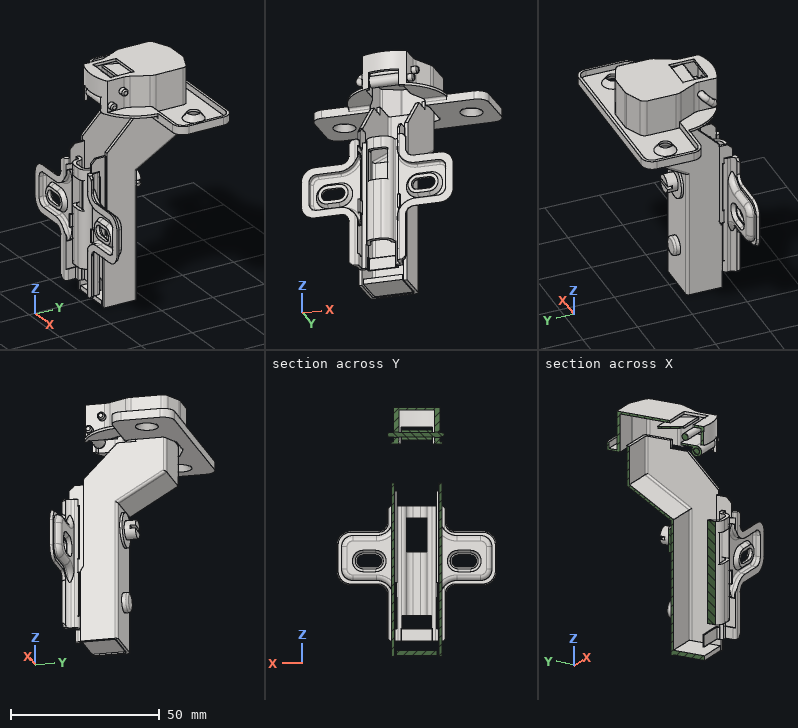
import cadquery as cq
import math

TOP_Z = 84.0
BACK_Y = 43.4

FLANGE_WIDTH = 62.0
FLANGE_FRONT_Y = 21.8
FLANGE_BOTTOM_Z = 69.3
FLANGE_TOP_Z = 72.4
FLANGE_CORNER_R = 4.0
RIM_WIDTH = 1.0
FLANGE_FLOOR = 0.8
LEDGE_THICKNESS = 0.9
LEDGE_FILLET = 1.0
SCREW_HOLE_X = 22.5
SCREW_HOLE_Y = 32.7
SCREW_HOLE_R = 2.2
SCREW_BOSS_R = 3.9

DISC_R = 17.5
DISC_Y = 23.2
CUP_HALF_WIDTH = 11.85
CUP_BACK_Y = 39.6
CUP_BACK_HALF = 4.45
CUP_SHOULDER_Y = 36.3
CUP_WAIST_Y = 23.3
NOSE_HALF_WIDTH = 7.9
NOSE_Y = 15.2
CUP_SIDE_R = 4.6
CUP_SHOULDER_R = 2.3
CUP_WALL = 1.3
CUP_ROOF = 1.0
WINDOW_HALF_WIDTH = 5.9
WINDOW_FRONT_Y = 10.2
WINDOW_BACK_Y = 19.2
NOTCH_HALF_WIDTH = 5.3
NOTCH_TOP_Z = 77.2

PIN_R = 1.3
UPPER_PIN_Y, UPPER_PIN_Z = 13.4, 79.05
LOWER_PIN_Y, LOWER_PIN_Z = 9.1, 74.7
PIN_TIP_X = 10.2
PIN_TIP_CHAMFER = 0.5
STAPLE_BACK_X = -9.75
STAPLE_BEND_R = 1.85

UPPER_LINK_HALF_WIDTH = 6.3
UPPER_LINK_FRONT_Y = 14.0
UPPER_LINK_FRONT_Z = 82.8
UPPER_LINK_LENGTH = 10.1
UPPER_LINK_TILT = 10.0
LINK_THICKNESS = 0.8
BARREL_HALF_WIDTH = 5.2
TONGUE_HALF_WIDTH = 6.1
BARREL_R = 2.0
LOWER_LINK_BACK_Y = 15.1

SHEET = 1.2
ARM_HALF_WIDTH = 8.6
ARM_UPPER_BACK_Y = 35.8
ARM_LOWER_BACK_Y = 19.0
ARM_BEND_Z = 57.8
ARM_BEND_ANGLE = 30.0
ARM_FRONT_Y = 6.0
ARM_STEP_Y = 7.05
ARM_STEP_LOW_Z, ARM_STEP_HIGH_Z = 24.8, 26.7
ARM_SHOULDER_Z = 57.5
ARM_BACK_TOP_Z = 72.15
ARM_OUTER_R = 1.0
ARM_INNER_R = 0.75
ARM_SIDE_TOP_Y = 25.2
ARM_FLOOR_HALF_WIDTH = 6.9
ARM_FLOOR_LOW_Z, ARM_FLOOR_HIGH_Z = 0.3, 2.2

BASE_LOW_Z, BASE_HIGH_Z = 5.2, 50.8
BASE_SHEET = 1.1
BASE_EDGE_ANGLE = 26.0
STRIP_HALF_WIDTH = 10.2
STRIP_CHAMFER = 1.3
WALL_INNER_X = 6.8
WALL_INNER_R = 1.1
WALL_OUTER_R = 1.5
RAIL_LOW_Y, RAIL_HIGH_Y = 3.95, 5.2
TROUGH_HALF_WIDTH = 4.8
TROUGH_FLAT = 1.3
TROUGH_SHEET = 1.35
TROUGH_LOW_Z = 13.8
TROUGH_WINDOW_HALF_WIDTH = 3.45
TROUGH_WINDOW_LOW_Z, TROUGH_WINDOW_HIGH_Z = 35.4, 46.7
BRIDGE_HALF_WIDTH = 5.3
BRIDGE_HIGH_Z = 9.5
BRIDGE_DEPTH = 1.5
BRIDGE_SHEET = 0.5
SLIT_WIDTH = 0.3
SLIT_HIGH_Z = 48.6

WING_TIP_X = 27.0
WING_LOW_Z, WING_HIGH_Z = 24.0, 42.4
WING_CORNER_R = 4.7
WING_NECK_R = 2.7
POCKET_DEPTH = 2.4
POCKET_TIP_X = 24.2
POCKET_LOW_Z, POCKET_HIGH_Z = 26.8, 39.7
POCKET_CORNER_R = 2.7
POCKET_NECK_R = 6.7
POCKET_FLOOR_R = 0.8
PRESSED_BACK_R = 1.85
SLOT_X, SLOT_Z = 16.0, 32.25
SLOT_STRAIGHT = 4.1
SLOT_R = 2.0
SLOT_BOSS_TOP_R = 3.3
SLOT_BOSS_R = 4.4
SLOT_BOSS_HEIGHT = 1.6
SLOT_BOSS_WALL = 1.3

CHEEK_INNER_X, CHEEK_OUTER_X = 6.6, 7.4
CHEEK_FRONT_Y, CHEEK_BACK_Y = 1.7, 7.4
CHEEK_LOW_Z, CHEEK_HIGH_Z = 24.95, 55.9
CHEEK_TAB_Z = 29.7
CHEEK_CHAMFER = 1.8

ADJUST_SCREW_Z = 41.0
WASHER_R = 6.05
WASHER_THICKNESS = 0.8
ADJUST_HEAD_R = 3.3
ADJUST_HEAD_END_Y = 23.7
DRIVE_SLOT_WIDTH = 1.1
DRIVE_SLOT_DEPTH = 1.85
FIXING_SCREW_Z = 15.3
FIXING_HEAD_R = 3.45
FIXING_HEAD_END_Y = 21.2
FIXING_HEAD_FILLET = 0.75


def block(x0, x1, y0, y1, z0, z1):
    """Box between two opposite corners."""
    return cq.Workplane("XY").box(x1 - x0, y1 - y0, z1 - z0, centered=False).translate((x0, y0, z0))


def mirrored(half):
    """A feature on the +X side together with its mirror image."""
    return half.union(half.mirror("YZ"))


def side_prism(points, half_width):
    """Prism of a (Y, Z) outline, centred on X = 0."""
    return cq.Workplane("YZ").polyline(points).close().extrude(half_width, both=True)


def rod_x(x0, x1, y, z, radius):
    """Round rod along X."""
    return cq.Workplane("YZ", origin=(x0, 0, 0)).center(y, z).circle(radius).extrude(x1 - x0)


def rod_y(y0, y1, z, radius):
    """Round rod along Y on the mirror plane."""
    return cq.Workplane("XZ", origin=(0, y0, 0)).center(0, z).circle(radius).extrude(y0 - y1)


def cup_outline_prism(inset, z0, z1):
    """Cup body between two heights, its side wall moved inwards by the inset."""
    points = [
        (CUP_BACK_HALF, CUP_BACK_Y),
        (CUP_HALF_WIDTH, CUP_SHOULDER_Y),
        (CUP_HALF_WIDTH, CUP_WAIST_Y),
        (NOSE_HALF_WIDTH, NOSE_Y),
        (NOSE_HALF_WIDTH, 0),
    ]
    left_points = [(-x, y) for x, y in reversed(points)]
    prism = cq.Workplane("XY").polyline(points + left_points).close().extrude(z1 - z0)
    for x_side in (-1, 1):
        for x, y, radius in (
            (CUP_BACK_HALF, CUP_BACK_Y, CUP_SHOULDER_R),
            (CUP_HALF_WIDTH, CUP_SHOULDER_Y, CUP_SHOULDER_R),
            (CUP_HALF_WIDTH, CUP_WAIST_Y, CUP_SIDE_R),
            (NOSE_HALF_WIDTH, NOSE_Y, CUP_SIDE_R),
        ):
            corner = cq.selectors.NearestToPointSelector((x_side * x, y, (z1 - z0) / 2))
            prism = prism.edges("|Z").edges(corner).fillet(radius)
    disc_reach = cq.Workplane("XY").center(0, DISC_Y).circle(DISC_R).extrude(z1 - z0)
    behind = block(-FLANGE_WIDTH, FLANGE_WIDTH, DISC_Y, BACK_Y, 0, z1 - z0)
    prism = prism.intersect(disc_reach.union(behind))
    if inset:
        prism = prism.faces("<Z").wires().toPending().offset2D(-inset).extrude(z1 - z0, combine=False)
        prism = prism.translate((0, 0, -prism.val().BoundingBox().zmin))
    return prism.translate((0, 0, z0))


def rounded_plate(inset, z0, z1):
    """Flange outline moved inwards by the inset."""
    width = FLANGE_WIDTH - 2 * inset
    depth = BACK_Y - FLANGE_FRONT_Y - 2 * inset
    plate = cq.Workplane("XY").box(width, depth, z1 - z0, centered=(True, True, False))
    plate = plate.edges("|Z").fillet(FLANGE_CORNER_R - inset)
    return plate.translate((0, (BACK_Y + FLANGE_FRONT_Y) / 2, z0))


def make_cup(staple):
    floor_z = FLANGE_BOTTOM_Z + FLANGE_FLOOR
    ledge_z = FLANGE_TOP_Z - LEDGE_THICKNESS
    cup = rounded_plate(0, FLANGE_BOTTOM_Z, FLANGE_TOP_Z)
    cup = cup.cut(rounded_plate(RIM_WIDTH, floor_z, FLANGE_TOP_Z))

    ledge = cq.Workplane("XY", origin=(0, DISC_Y, ledge_z)).circle(DISC_R).extrude(LEDGE_THICKNESS)
    ledge = ledge.intersect(block(-DISC_R, DISC_R, 0, FLANGE_FRONT_Y + RIM_WIDTH, ledge_z, FLANGE_TOP_Z))
    cup = cup.union(ledge)
    strip_front_y = FLANGE_FRONT_Y - LEDGE_FILLET
    fillet_strip = (
        cq.Workplane("YZ")
        .moveTo(FLANGE_FRONT_Y, ledge_z)
        .lineTo(strip_front_y, ledge_z)
        .radiusArc((FLANGE_FRONT_Y, ledge_z - LEDGE_FILLET), LEDGE_FILLET)
        .close()
        .extrude(math.sqrt(DISC_R**2 - (DISC_Y - strip_front_y) ** 2), both=True)
    )
    cup = cup.union(fillet_strip)

    boss_height = FLANGE_TOP_Z - floor_z
    for x in (-SCREW_HOLE_X, SCREW_HOLE_X):
        axis_point = cq.Vector(x, SCREW_HOLE_Y, floor_z)
        boss = cq.Solid.makeCone(SCREW_BOSS_R, SCREW_HOLE_R, boss_height, axis_point)
        hole = cq.Workplane("XY", origin=(x, SCREW_HOLE_Y, 0)).circle(SCREW_HOLE_R).extrude(TOP_Z)
        dish_point = cq.Vector(x, SCREW_HOLE_Y, FLANGE_BOTTOM_Z)
        dish = cq.Solid.makeCone(SCREW_BOSS_R, SCREW_HOLE_R, boss_height, dish_point)
        cup = cup.union(cq.Workplane(boss)).cut(hole).cut(cq.Workplane(dish))

    cup = cup.union(cup_outline_prism(0, ledge_z, TOP_Z))
    foot = cup_outline_prism(0, floor_z, ledge_z)
    flange_zone = block(-FLANGE_WIDTH, FLANGE_WIDTH, FLANGE_FRONT_Y, BACK_Y, floor_z, ledge_z)
    cup = cup.union(foot.intersect(flange_zone))
    cup = cup.cut(cup_outline_prism(CUP_WALL, 0, TOP_Z - CUP_ROOF))

    window_half = WINDOW_HALF_WIDTH
    cup = cup.cut(block(-window_half, window_half, WINDOW_FRONT_Y, WINDOW_BACK_Y, FLANGE_TOP_Z, TOP_Z))
    notch_half = NOTCH_HALF_WIDTH
    cup = cup.cut(block(-notch_half, notch_half, 0, WINDOW_FRONT_Y, FLANGE_BOTTOM_Z, NOTCH_TOP_Z))
    return cup.cut(staple)


def make_staple():
    """Two parallel pins along X, joined at the -X end by a bent back."""
    span_y = LOWER_PIN_Y - UPPER_PIN_Y
    span_z = LOWER_PIN_Z - UPPER_PIN_Z
    span = math.hypot(span_y, span_z)
    staple_plane = cq.Plane(
        origin=(0, UPPER_PIN_Y, UPPER_PIN_Z),
        xDir=(1, 0, 0),
        normal=(0, -span_z, span_y),
    )
    bend_x = STAPLE_BACK_X + STAPLE_BEND_R
    path = (
        cq.Workplane(staple_plane)
        .moveTo(PIN_TIP_X, 0)
        .lineTo(bend_x, 0)
        .tangentArcPoint((STAPLE_BACK_X, STAPLE_BEND_R), relative=False)
        .lineTo(STAPLE_BACK_X, span - STAPLE_BEND_R)
        .tangentArcPoint((bend_x, span), relative=False)
        .lineTo(PIN_TIP_X, span)
    )
    section = cq.Workplane("YZ", origin=(PIN_TIP_X, UPPER_PIN_Y, UPPER_PIN_Z)).circle(PIN_R)
    staple = section.sweep(path)
    return staple.faces(">X").edges().chamfer(PIN_TIP_CHAMFER)


def make_upper_link():
    """Flat link above the upper pin, falling towards the back."""
    link = block(-UPPER_LINK_HALF_WIDTH, UPPER_LINK_HALF_WIDTH, 0, UPPER_LINK_LENGTH, -LINK_THICKNESS, 0)
    link = link.rotate((0, 0, 0), (1, 0, 0), -UPPER_LINK_TILT)
    return link.translate((0, UPPER_LINK_FRONT_Y, UPPER_LINK_FRONT_Z))


def make_lower_link(staple):
    """Barrel round the lower pin with a flat tongue tangent to its top."""
    tongue_top = LOWER_PIN_Z + BARREL_R
    link = rod_x(-BARREL_HALF_WIDTH, BARREL_HALF_WIDTH, LOWER_PIN_Y, LOWER_PIN_Z, BARREL_R)
    tongue = block(
        -TONGUE_HALF_WIDTH,
        TONGUE_HALF_WIDTH,
        LOWER_PIN_Y,
        LOWER_LINK_BACK_Y,
        tongue_top - LINK_THICKNESS,
        tongue_top,
    )
    return link.union(tongue).cut(staple)


def arm_back_points(offset):
    """Outside of the back wall moved inwards, from the top end down to Z = 0."""
    slope = math.tan(math.radians(ARM_BEND_ANGLE))
    rise = offset * math.tan(math.radians(45 - ARM_BEND_ANGLE / 2))
    drop = (ARM_UPPER_BACK_Y - ARM_LOWER_BACK_Y) * slope
    return [
        (ARM_UPPER_BACK_Y - offset, ARM_BACK_TOP_Z),
        (ARM_UPPER_BACK_Y - offset, ARM_BEND_Z + rise),
        (ARM_LOWER_BACK_Y - offset, ARM_BEND_Z + rise - drop),
        (ARM_LOWER_BACK_Y - offset, 0),
    ]


def back_wall_edges(half_width, offset):
    """Selects the long edges of the back wall, leaving out its two end edges."""
    tolerance = 0.1
    low_corner = (-half_width - tolerance, ARM_LOWER_BACK_Y - offset - tolerance, tolerance)
    high_corner = (half_width + tolerance, BACK_Y, ARM_BACK_TOP_Z - tolerance)
    return cq.selectors.BoxSelector(low_corner, high_corner)


def make_arm():
    shoulder_y = ARM_STEP_Y + FLANGE_BOTTOM_Z - ARM_SHOULDER_Z
    front_points = [
        (ARM_FRONT_Y, 0),
        (ARM_FRONT_Y, ARM_STEP_LOW_Z),
        (ARM_STEP_Y, ARM_STEP_HIGH_Z),
        (ARM_STEP_Y, ARM_SHOULDER_Z),
        (shoulder_y, FLANGE_BOTTOM_Z),
        (shoulder_y, ARM_BACK_TOP_Z),
    ]
    inner_half = ARM_HALF_WIDTH - SHEET

    arm = side_prism(arm_back_points(0) + front_points, ARM_HALF_WIDTH)
    back_edges = back_wall_edges(ARM_HALF_WIDTH, 0)
    arm = arm.edges("#X").edges(back_edges).fillet(ARM_OUTER_R)
    hollow = side_prism(arm_back_points(SHEET) + [(0, 0), (0, ARM_BACK_TOP_Z)], inner_half)
    hollow = hollow.edges("#X").edges(back_wall_edges(inner_half, SHEET)).fillet(ARM_INNER_R)
    arm = arm.cut(hollow)

    above = block(-ARM_HALF_WIDTH, ARM_HALF_WIDTH, 0, ARM_SIDE_TOP_Y, FLANGE_BOTTOM_Z, ARM_BACK_TOP_Z)
    arm = arm.cut(above)

    half = ARM_FLOOR_HALF_WIDTH
    floor_back = ARM_LOWER_BACK_Y - SHEET / 2
    return arm.union(block(-half, half, ARM_FRONT_Y, floor_back, ARM_FLOOR_LOW_Z, ARM_FLOOR_HIGH_Z))


def lobe_sketch(tip_x, low_z, high_z, corner_r, neck_r, root_x, inner_x, y):
    """Lobe outline at height Y, flaring into X = root_x with neck arcs and running on to inner_x."""
    plane = cq.Plane(origin=(0, y, 0), xDir=(-1, 0, 0), normal=(0, 1, 0))
    neck_x = root_x + neck_r
    corner_x = tip_x - corner_r
    return (
        cq.Workplane(plane)
        .moveTo(-inner_x, low_z - neck_r)
        .lineTo(-root_x, low_z - neck_r)
        .radiusArc((-neck_x, low_z), -neck_r)
        .lineTo(-corner_x, low_z)
        .radiusArc((-tip_x, low_z + corner_r), corner_r)
        .lineTo(-tip_x, high_z - corner_r)
        .radiusArc((-corner_x, high_z), corner_r)
        .lineTo(-neck_x, high_z)
        .radiusArc((-root_x, high_z + neck_r), -neck_r)
        .lineTo(-inner_x, high_z + neck_r)
        .close()
    )


def rail_half():
    """Section of the +X half of the rail: strip, wall, rail flange and trough."""
    wall_out = WALL_INNER_X + BASE_SHEET
    bevel = BASE_SHEET * math.tan(math.radians(BASE_EDGE_ANGLE))
    outer_r = TROUGH_HALF_WIDTH - TROUGH_FLAT
    inner_r = outer_r - TROUGH_SHEET
    lip_out = RAIL_HIGH_Y - outer_r
    lip_in = RAIL_LOW_Y - outer_r
    section = (
        cq.Workplane("XY")
        .moveTo(0, 0)
        .lineTo(TROUGH_FLAT, 0)
        .radiusArc((TROUGH_HALF_WIDTH, outer_r), -outer_r)
        .radiusArc((TROUGH_HALF_WIDTH + lip_in, RAIL_LOW_Y), lip_in)
        .lineTo(WALL_INNER_X, RAIL_LOW_Y)
        .lineTo(WALL_INNER_X, WALL_INNER_R)
        .radiusArc((WALL_INNER_X + WALL_INNER_R, 0), -WALL_INNER_R)
        .lineTo(STRIP_HALF_WIDTH, 0)
        .lineTo(STRIP_HALF_WIDTH - bevel, BASE_SHEET)
        .lineTo(wall_out + WALL_OUTER_R, BASE_SHEET)
        .radiusArc((wall_out, BASE_SHEET + WALL_OUTER_R), WALL_OUTER_R)
        .lineTo(wall_out, RAIL_HIGH_Y - WALL_OUTER_R)
        .radiusArc((wall_out - WALL_OUTER_R, RAIL_HIGH_Y), -WALL_OUTER_R)
        .lineTo(TROUGH_FLAT + inner_r + lip_out, RAIL_HIGH_Y)
        .radiusArc((TROUGH_FLAT + inner_r, outer_r), -lip_out)
        .radiusArc((TROUGH_FLAT, TROUGH_SHEET), inner_r)
        .lineTo(0, TROUGH_SHEET)
        .close()
    )
    return section.extrude(BASE_HIGH_Z - BASE_LOW_Z).translate((0, 0, BASE_LOW_Z))


def oval_slot_prism(radius, y0, y1, taper=0):
    """Slot shape grown along +Y from y0 to y1."""
    plane = cq.Plane(origin=(SLOT_X, y0, SLOT_Z), xDir=(-1, 0, 0), normal=(0, 1, 0))
    return cq.Workplane(plane).slot2D(SLOT_STRAIGHT + 2 * radius, 2 * radius).extrude(y1 - y0, taper=taper)


def add_wing(body):
    """Add the +X wing with its pressed pocket and slotted boss."""
    wing = lobe_sketch(
        WING_TIP_X,
        WING_LOW_Z,
        WING_HIGH_Z,
        WING_CORNER_R,
        WING_NECK_R,
        STRIP_HALF_WIDTH,
        WALL_INNER_X + BASE_SHEET,
        0,
    )
    body = body.union(wing.extrude(BASE_SHEET, taper=BASE_EDGE_ANGLE))

    pressed = lobe_sketch(
        POCKET_TIP_X + BASE_SHEET,
        POCKET_LOW_Z - BASE_SHEET,
        POCKET_HIGH_Z + BASE_SHEET,
        POCKET_CORNER_R + BASE_SHEET,
        POCKET_NECK_R - BASE_SHEET,
        WALL_INNER_X + BASE_SHEET,
        TROUGH_FLAT,
        BASE_SHEET / 2,
    )
    pressed = pressed.extrude(POCKET_DEPTH + BASE_SHEET / 2)
    pressed = pressed.faces(">Y").edges().fillet(PRESSED_BACK_R)
    body = body.union(pressed.cut(block(0, WALL_INNER_X, 0, RAIL_HIGH_Y, 0, TOP_Z)))

    pocket = lobe_sketch(
        POCKET_TIP_X,
        POCKET_LOW_Z,
        POCKET_HIGH_Z,
        POCKET_CORNER_R,
        POCKET_NECK_R,
        WALL_INNER_X,
        TROUGH_HALF_WIDTH,
        0,
    )
    pocket = pocket.extrude(POCKET_DEPTH).faces(">Y").edges().fillet(POCKET_FLOOR_R)
    body = body.cut(pocket)

    boss_front = POCKET_DEPTH - SLOT_BOSS_HEIGHT
    draft = math.degrees(math.atan((SLOT_BOSS_R - SLOT_BOSS_TOP_R) / SLOT_BOSS_HEIGHT))
    boss = oval_slot_prism(SLOT_BOSS_TOP_R, boss_front, POCKET_DEPTH, taper=-draft)
    dish_front = boss_front + SLOT_BOSS_WALL
    dish = oval_slot_prism(SLOT_BOSS_TOP_R - SLOT_BOSS_WALL / 2, dish_front, RAIL_HIGH_Y, taper=-draft)
    return body.union(boss).cut(dish).cut(oval_slot_prism(SLOT_R, 0, RAIL_HIGH_Y))


def cheek_plate():
    """Upright plate on the +X side, with a lug in front of the rail flange at both ends."""
    points = [
        (CHEEK_BACK_Y, CHEEK_LOW_Z),
        (CHEEK_FRONT_Y, CHEEK_LOW_Z),
        (CHEEK_FRONT_Y, CHEEK_TAB_Z),
        (RAIL_HIGH_Y, CHEEK_TAB_Z),
        (RAIL_HIGH_Y, SLIT_HIGH_Z),
        (CHEEK_FRONT_Y, SLIT_HIGH_Z),
        (CHEEK_FRONT_Y, CHEEK_HIGH_Z - CHEEK_CHAMFER),
        (CHEEK_FRONT_Y + CHEEK_CHAMFER, CHEEK_HIGH_Z),
        (CHEEK_BACK_Y, CHEEK_HIGH_Z),
    ]
    plate = cq.Workplane("YZ", origin=(CHEEK_INNER_X, 0, 0)).polyline(points).close()
    return plate.extrude(CHEEK_OUTER_X - CHEEK_INNER_X)


def make_base():
    half = rail_half()
    half = half.cut(
        block(WALL_INNER_X, WALL_INNER_X + SLIT_WIDTH, 0, RAIL_HIGH_Y, BRIDGE_HIGH_Z, SLIT_HIGH_Z)
    )
    half = add_wing(half)

    for z, inward in ((BASE_LOW_Z, 1), (BASE_HIGH_Z, -1)):
        corner = (
            cq.Workplane("XZ")
            .polyline([
                (STRIP_HALF_WIDTH, z),
                (STRIP_HALF_WIDTH - STRIP_CHAMFER, z),
                (STRIP_HALF_WIDTH, z + inward * STRIP_CHAMFER),
            ])
            .close()
            .extrude(-RAIL_HIGH_Y)
        )
        half = half.cut(corner)

    base = mirrored(half.union(cheek_plate()))

    window_half = TROUGH_WINDOW_HALF_WIDTH
    base = base.cut(
        block(-window_half, window_half, 0, RAIL_LOW_Y, TROUGH_WINDOW_LOW_Z, TROUGH_WINDOW_HIGH_Z)
    )
    leg_x = BRIDGE_HALF_WIDTH - BRIDGE_SHEET
    gap_points = [
        (BRIDGE_HALF_WIDTH, 0),
        (BRIDGE_HALF_WIDTH, RAIL_LOW_Y),
        (leg_x, RAIL_HIGH_Y),
        (-leg_x, RAIL_HIGH_Y),
        (-BRIDGE_HALF_WIDTH, RAIL_LOW_Y),
        (-BRIDGE_HALF_WIDTH, 0),
    ]
    gap = cq.Workplane("XY").polyline(gap_points).close().extrude(TROUGH_LOW_Z)
    base = base.cut(gap)

    back_y = RAIL_HIGH_Y + BRIDGE_DEPTH
    bridge = block(-BRIDGE_HALF_WIDTH, BRIDGE_HALF_WIDTH, RAIL_HIGH_Y, back_y, BASE_LOW_Z, BRIDGE_HIGH_Z)
    bridge = bridge.cut(block(-leg_x, leg_x, 0, back_y - BRIDGE_SHEET, BASE_LOW_Z, BRIDGE_HIGH_Z))
    return base.union(bridge)


def make_adjust_screw():
    """Cylinder head with a straight drive slot, standing on the back wall of the arm."""
    screw = rod_y(ARM_LOWER_BACK_Y, ADJUST_HEAD_END_Y, ADJUST_SCREW_Z, ADJUST_HEAD_R)
    slot_low_z = ADJUST_SCREW_Z - DRIVE_SLOT_WIDTH / 2
    drive_slot = block(
        -ADJUST_HEAD_R,
        ADJUST_HEAD_R,
        ADJUST_HEAD_END_Y - DRIVE_SLOT_DEPTH,
        ADJUST_HEAD_END_Y,
        slot_low_z,
        slot_low_z + DRIVE_SLOT_WIDTH,
    )
    return screw.cut(drive_slot)


def make_washer(screw):
    """Flat washer round the adjusting screw."""
    disc = rod_y(ARM_LOWER_BACK_Y, ARM_LOWER_BACK_Y + WASHER_THICKNESS, ADJUST_SCREW_Z, WASHER_R)
    return disc.cut(screw)


def make_fixing_screw():
    """Low round head with a rounded rim."""
    head = rod_y(ARM_LOWER_BACK_Y, FIXING_HEAD_END_Y, FIXING_SCREW_Z, FIXING_HEAD_R)
    return head.faces(">Y").edges().fillet(FIXING_HEAD_FILLET)


staple = make_staple()
cup = make_cup(staple)
upper_link = make_upper_link()
lower_link = make_lower_link(staple)
arm = make_arm()
base = make_base()
adjust_screw = make_adjust_screw()
washer = make_washer(adjust_screw)
fixing_screw = make_fixing_screw()

result = cq.Compound.makeCompound([
    cup.val(),
    staple.val(),
    upper_link.val(),
    lower_link.val(),
    arm.val(),
    base.val(),
    adjust_screw.val(),
    washer.val(),
    fixing_screw.val(),
])